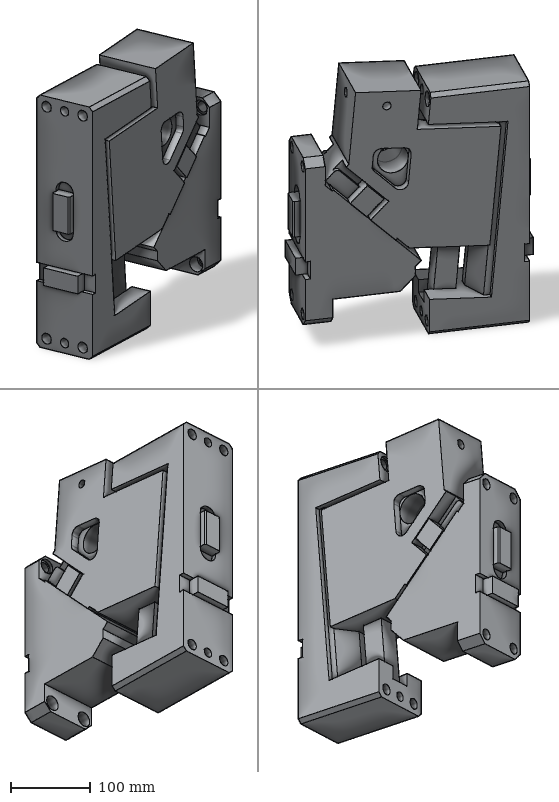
import cadquery as cq
import math

width = 85.0
bracket_width = 81.5
tilt = math.radians(5.0)

bolt_dia = 14.0
bolt_counterbore_dia = 20.0
bolt_counterbore_depth = 4.5
dowel_dia = 12.5
bolt_offset = 27.3
bolt_edge = 13.8

key_proud = 9.0
key_width = 26.2
key_height = 50.0
key_chamfer = 1.8
key_slot_height = 79.0
key_slot_depth = 6.7
bar_key_length = 51.7
bar_key_clearance = 1.0
bar_slot_height = 24.8

frame_height = 339.8
frame_chamfer = 5.3
lower_arm_depth = 129.7
upper_arm_reach = 95.0
frame_key_z = 190.5
frame_bar_slot_z = 88.5

opening_gap = 8.5
opening_top = 6.5
opening_bottom = -239.0
ridge_half_width = 35.5
ridge_rise = 17.0
ridge_flank_angle = 60.0
guide_near = 30.5
guide_depth = 28.7
guide_width = 28.5
guide_slot_depth = 17.7

block_corner_y = 37.2
block_corner_z = 283.0
block_height = 166.0
shoulder = 108.8
tower_depth = 85.0
tower_height = 54.5
window_dia = 39.7
window_y = 174.5
window_z = 249.5
recess_front = 113.7
recess_back = 163.0
recess_top = -25.0
recess_back_low = -54.0
recess_depth = 11.5
recess_fillet = 10.0
cross_hole_dia = 10.5
cross_hole_from_back = 42.5
cross_hole_from_top = 20.2
cross_hole_depth = 42.5
spring_bore_dia = 40.5
spring_bore_reach = 85.0
spring_bore_depth = 17.7

bracket_back = 290.2
bracket_top = 265.0
bracket_bottom = 29.8
bracket_chamfer = 10.5
upper_plate_front = 264.3
foot_front = 254.5
foot_counterbore_depth = 17.7
belly_z = 66.3
nose_bevel = 7.8
nose_low_z = 85.7
bracket_key_z = 170.5
bracket_bar_slot_z = 98.5

tip_y = 140.0
tip_z = 106.3
tongue_end = 171.5
tongue_height = 21.5
tongue_half_width = 28.7
tongue_root = 46.0
tongue_fillet = 5.3
neck_half_width = 22.5
pocket_start = 93.5
pocket_height = 33.3
relief_end = 47.5
relief_height = 3.2
claw_start = 100.5
claw_length = 30.5
claw_height = 32.0
ramp_step_start = 161.0
ramp_step_drop = 2.0

far = 425.2
overlap = 3.5
block_plane = cq.Plane((0, block_corner_y, block_corner_z),
                       (0, math.cos(tilt), math.sin(tilt)), (1, 0, 0))
ramp_plane = cq.Plane((0, tip_y, tip_z), (0, 1, 1), (1, 0, 0))
upright_plane = cq.Plane.YZ()


def prism(plane, points, x_width):
    """Closed side outline extruded symmetrically about X = 0."""
    return cq.Workplane(plane).polyline(points).close().extrude(x_width / 2, both=True)


def slab(plane, low, high, x_from, x_to):
    """Block between two side-outline corners and two X positions."""
    return (cq.Workplane(plane).workplane(offset=x_from)
            .moveTo((low[0] + high[0]) / 2, (low[1] + high[1]) / 2)
            .rect(high[0] - low[0], high[1] - low[1]).extrude(x_to - x_from))


def both_sides(solid):
    """The shape together with its mirror image across X = 0."""
    return solid.union(solid.mirror("YZ"))


def y_hole(x, z, dia):
    """Round hole along Y, right through."""
    return cq.Workplane("XZ", origin=(x, 0, z)).circle(dia / 2).extrude(far, both=True)


def counterbored_hole(x, z, head_y, outward, depth):
    """Bolt hole along Y, counterbored at head_y on the side that outward points to."""
    seat_y = head_y - outward * depth
    counterbore = (cq.Workplane("XZ", origin=(x, seat_y, z))
                   .circle(bolt_counterbore_dia / 2).extrude(-outward * far))
    return y_hole(x, z, bolt_dia).union(counterbore)


def add_keys(body, face_y, outward, key_z, bar_z):
    """Cut the key slots into a vertical face and add the two keys that sit in them."""
    slot_floor = face_y - outward * key_slot_depth
    long_slot = (cq.Workplane("XZ", origin=(0, slot_floor, key_z))
                 .slot2D(key_slot_height, key_width, 90).extrude(-outward * key_slot_depth))
    key_total = key_slot_depth + key_proud
    key = (cq.Workplane("XZ", origin=(0, slot_floor, key_z))
           .rect(key_width, key_height).extrude(-outward * key_total)
           .faces(">Y" if outward > 0 else "<Y").edges("|Z").chamfer(key_chamfer))
    y_tip = face_y + outward * key_proud
    bar_slot = slab(upright_plane, (min(slot_floor, face_y), bar_z),
                    (max(slot_floor, face_y), bar_z + bar_slot_height), -width, width)
    bar_key = slab(upright_plane, (min(slot_floor, y_tip), bar_z),
                   (max(slot_floor, y_tip), bar_z + bar_slot_height - bar_key_clearance),
                   -bar_key_length / 2, bar_key_length / 2)
    return body.cut(long_slot).cut(bar_slot).union(key).union(bar_key)


def guide_bar():
    """Square bar that spans the frame opening parallel to the leaning wall."""
    return slab(block_plane, (guide_near, opening_bottom - overlap),
                (guide_near + guide_depth, opening_top + overlap), -guide_width / 2, guide_width / 2)


def guide_slot():
    """Slot in the lower arm that runs from the guide bar out of the arm end."""
    return slab(block_plane, (guide_near + guide_depth, opening_bottom - guide_slot_depth),
                (far, opening_bottom), -guide_width / 2, guide_width / 2)


def guide_ridge():
    """Rail with sloping flanks that stands on the leaning wall of the frame."""
    crest_half_width = ridge_half_width - ridge_rise * math.tan(math.radians(ridge_flank_angle))
    root = -opening_gap - overlap
    base = block_plane.toWorldCoords((0, opening_bottom - overlap, 0))
    profile_plane = cq.Plane(base.toTuple(), (1, 0, 0), block_plane.yDir.toTuple())
    return (cq.Workplane(profile_plane)
            .polyline([(-ridge_half_width, root), (-ridge_half_width, 0), (-crest_half_width, ridge_rise),
                       (crest_half_width, ridge_rise), (ridge_half_width, 0), (ridge_half_width, root)])
            .close().extrude(opening_top - opening_bottom + 2 * overlap))


def spring_bore():
    """Blind round bore in the shoulder of the slide block."""
    base = block_plane.toWorldCoords((spring_bore_reach, -spring_bore_depth, 0))
    return (cq.Workplane(cq.Plane(base.toTuple(), (1, 0, 0), block_plane.yDir.toTuple()))
            .circle(spring_bore_dia / 2).extrude(spring_bore_depth))


def make_frame():
    """C-shaped front body with its guide bar, ridge, bolt holes and keys."""
    body = (cq.Workplane("XY").box(width, far, frame_height, centered=(True, False, False))
            .edges("|Y").chamfer(frame_chamfer))
    opening = slab(block_plane, (-opening_gap, opening_bottom), (far, opening_top), -width, width)
    above = slab(block_plane, (upper_arm_reach, opening_bottom), (far, far), -width, width)
    beyond = slab(upright_plane, (lower_arm_depth, 0), (far, frame_height / 2), -width, width)
    body = body.cut(opening).cut(above).cut(beyond)
    body = body.cut(guide_slot()).union(guide_ridge()).union(guide_bar())
    top_holes_z = frame_height - bolt_edge
    rise = top_holes_z - block_corner_z
    upper_arm_end = block_corner_y + (upper_arm_reach - rise * math.sin(tilt)) / math.cos(tilt)
    for z in (bolt_edge, top_holes_z):
        body = body.cut(y_hole(0, z, dowel_dia))
    for x in (-bolt_offset, bolt_offset):
        body = body.cut(y_hole(x, bolt_edge, bolt_dia))
        body = body.cut(counterbored_hole(x, top_holes_z, upper_arm_end, 1, bolt_counterbore_depth))
    return add_keys(body, 0, -1, frame_key_z, frame_bar_slot_z)


def side_recess():
    """Four-cornered recess around the window, its lower edge parallel to the ramp."""
    slope = math.tan(math.radians(45) - tilt)
    low_corner = recess_back_low - slope * (recess_back - recess_front)
    return (cq.Workplane(block_plane).workplane(offset=-width / 2)
            .polyline([(recess_front, recess_top), (recess_back, recess_top),
                       (recess_back, recess_back_low), (recess_front, low_corner)]).close()
            .extrude(recess_depth).edges("|X").fillet(recess_fillet))


def make_slide_block():
    """Leaning middle body that rides on the guide and rests on the ramp."""
    back = shoulder + tower_depth
    body = prism(block_plane, [(0, 0), (0, -block_height), (back, -block_height), (back, tower_height),
                               (shoulder, tower_height), (shoulder, 0)], width)
    body = body.union(slab(ramp_plane, (relief_end, 0), (tongue_end, tongue_root), -width / 2, width / 2))
    body = body.cut(slab(ramp_plane, (-far, -far), (far, 0), -width, width))
    body = body.cut(slab(ramp_plane, (-far, -far), (relief_end, relief_height), -width, width))
    undercut = slab(ramp_plane, (pocket_start, tongue_height), (tongue_end + overlap, pocket_height),
                    neck_half_width, width)
    flank = slab(ramp_plane, (pocket_start, 0), (tongue_end + overlap, tongue_height),
                 tongue_half_width, width)
    body = body.cut(both_sides(undercut.union(flank)))
    tongue_middle_x = (tongue_half_width + neck_half_width) / 2
    for x in (-tongue_middle_x, tongue_middle_x):
        tongue_corner = ramp_plane.toWorldCoords((tongue_end, tongue_height, x)).toTuple()
        body = body.edges(cq.selectors.NearestToPointSelector(tongue_corner)).fillet(tongue_fillet)
    window = cq.Workplane("YZ").center(window_y, window_z).circle(window_dia / 2).extrude(width, both=True)
    body = body.cut(window).cut(both_sides(side_recess()))
    cross_hole_v = tower_height - cross_hole_from_top
    cross = (cq.Workplane(block_plane).workplane(offset=-width / 2)
             .center(back - cross_hole_from_back, cross_hole_v)
             .circle(cross_hole_dia / 2).extrude(cross_hole_depth))
    dowel = (cq.Workplane(block_plane)
             .center(back, cross_hole_v)
             .transformed(rotate=(0, -90, 0)).circle(dowel_dia / 2).extrude(cross_hole_from_back))
    return body.cut(cross).cut(dowel).cut(spring_bore()).cut(guide_bar()).cut(guide_ridge())


def claw():
    """Hook on one side of the ramp that reaches over the tongue of the block."""
    claw_end = claw_start + claw_length
    post = slab(ramp_plane, (claw_start, 0), (claw_end, claw_height), tongue_half_width, width / 2)
    lip = slab(ramp_plane, (claw_start, tongue_height), (claw_end, claw_height),
               neck_half_width, width / 2)
    return post.union(lip)


def make_bracket():
    """Rear body with the ramp, two claws, bolt holes and keys."""
    step_edge = ramp_plane.toWorldCoords((ramp_step_start, 0, 0))
    step_foot = ramp_plane.toWorldCoords((ramp_step_start, -ramp_step_drop, 0))
    wall_foot_z = step_foot.z + upper_plate_front - step_foot.y
    body = prism(upright_plane, [
        (bracket_back, bracket_bottom), (bracket_back, bracket_top),
        (upper_plate_front, bracket_top), (upper_plate_front, wall_foot_z),
        (step_foot.y, step_foot.z), (step_edge.y, step_edge.z),
        (tip_y, tip_z), (tip_y + nose_bevel, tip_z - nose_bevel),
        (tip_y + nose_bevel, nose_low_z), (tip_y + nose_bevel + nose_low_z - belly_z, belly_z),
        (foot_front, belly_z), (foot_front, bracket_bottom)], bracket_width)
    body = body.faces("<Z or >Z").edges("|Y").chamfer(bracket_chamfer)
    body = body.union(both_sides(claw()))
    for x in (-bolt_offset, bolt_offset):
        foot_hole = counterbored_hole(x, bracket_bottom + bolt_edge, foot_front, -1,
                                      foot_counterbore_depth)
        upper_hole = counterbored_hole(x, bracket_top - bolt_edge, upper_plate_front, -1,
                                       bolt_counterbore_depth)
        body = body.cut(foot_hole).cut(upper_hole)
    return add_keys(body, bracket_back, 1, bracket_key_z, bracket_bar_slot_z)


frame = make_frame()
slide_block = make_slide_block()
bracket = make_bracket()
result = cq.Compound.makeCompound([frame.solids().val(), slide_block.solids().val(), bracket.solids().val()])